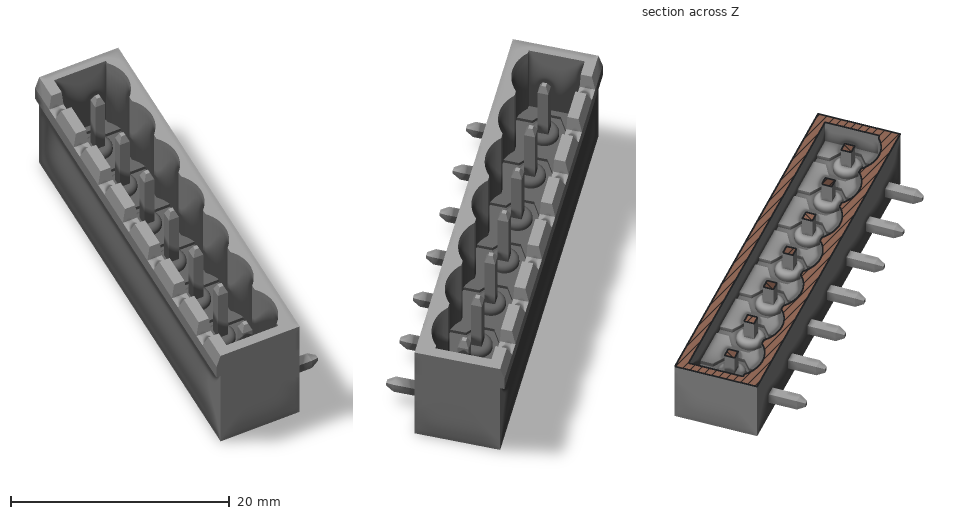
import cadquery as cq


LENGTH = 37.55
HEIGHT = 12.0
BACK_Y = 3.83
BODY_DEPTH = 8.08
FRONT_Y = BACK_Y - BODY_DEPTH

PIN_COUNT = 7
END_DISTANCE = 3.53
PITCH = (LENGTH - 2 * END_DISTANCE) / (PIN_COUNT - 1)
PIN_POSITIONS = [(i - (PIN_COUNT - 1) / 2) * PITCH for i in range(PIN_COUNT)]

LIP_PROJECTION = 0.4
LIP_HEIGHT = 2.8
LIP_CHAMFER_HEIGHT = 1.3

END_WALL = 0.95
FRONT_WALL = 1.05
BACK_WALL = 1.73
SCALLOP_DEPTH = 0.9
SCALLOP_WIDTH = 4.55
FLOOR_Z = 3.75
CAVITY_FRONT_Y = FRONT_Y + FRONT_WALL
CAVITY_BACK_Y = BACK_Y - BACK_WALL
CAVITY_HALF_LENGTH = LENGTH / 2 - END_WALL
SCALLOP_PEAK_Y = CAVITY_BACK_Y + SCALLOP_DEPTH

NOTCH_DEPTH = LIP_CHAMFER_HEIGHT
NOTCH_TOP_WIDTH = 2.03
NOTCH_BOTTOM_WIDTH = 1.25

RECESS_DEPTH = 0.38
RECESS_WIDTH = 4.1
RECESS_BACK_NECK_WIDTH = 2.03
RECESS_FRONT_NECK_WIDTH = 0.95
RECESS_SIDE_BACK_Y = 0.53
RECESS_SIDE_FRONT_Y = -1.05
RECESS_BACK_NECK_Y = 1.35
RECESS_FRONT_NECK_Y = -2.0

COLLAR_DIAMETER = 2.75
COLLAR_TOP_DIAMETER = 1.75
COLLAR_ROUNDING = (COLLAR_DIAMETER - COLLAR_TOP_DIAMETER) / 2
COLLAR_HEIGHT = 0.75

PIN_WIDTH = 1.0
PIN_TIP_WIDTH = 0.4
PIN_TIP_LENGTH = 0.75
PIN_TAIL_Z = 2.1
PIN_TAIL_PROJECTION = 3.5
PIN_TOP_GAP = 1.2
PIN_TOP_Z = HEIGHT - PIN_TOP_GAP
PIN_END_Y = BACK_Y + PIN_TAIL_PROJECTION


def make_shell():
    """Housing block with the chamfered front lip, extruded along X."""
    lip_y = FRONT_Y - LIP_PROJECTION
    lip_z = HEIGHT - LIP_HEIGHT
    profile = [
        (BACK_Y, 0),
        (BACK_Y, HEIGHT),
        (FRONT_Y, HEIGHT),
        (lip_y, HEIGHT - LIP_CHAMFER_HEIGHT),
        (lip_y, lip_z),
        (FRONT_Y, lip_z),
        (FRONT_Y, 0),
    ]
    return cq.Workplane("YZ").polyline(profile).close().extrude(LENGTH / 2, both=True)


def make_cavity():
    """Pocket open at the top, its rear wall scalloped once behind each pin."""
    outline = (
        cq.Workplane("XY", origin=(0, 0, FLOOR_Z))
        .moveTo(CAVITY_HALF_LENGTH, CAVITY_FRONT_Y)
        .lineTo(-CAVITY_HALF_LENGTH, CAVITY_FRONT_Y)
        .lineTo(-CAVITY_HALF_LENGTH, CAVITY_BACK_Y)
    )
    for x in PIN_POSITIONS:
        outline = outline.lineTo(x - SCALLOP_WIDTH / 2, CAVITY_BACK_Y).threePointArc(
            (x, SCALLOP_PEAK_Y), (x + SCALLOP_WIDTH / 2, CAVITY_BACK_Y)
        )
    outline = outline.lineTo(CAVITY_HALF_LENGTH, CAVITY_BACK_Y).close()
    return outline.extrude(HEIGHT - FLOOR_Z)


def make_notch(x):
    """Trapezoidal gap through the front wall and lip."""
    bottom_z = HEIGHT - NOTCH_DEPTH
    profile = [
        (x - NOTCH_BOTTOM_WIDTH / 2, bottom_z),
        (x + NOTCH_BOTTOM_WIDTH / 2, bottom_z),
        (x + NOTCH_TOP_WIDTH / 2, HEIGHT),
        (x - NOTCH_TOP_WIDTH / 2, HEIGHT),
    ]
    start = cq.Workplane("XZ", origin=(0, CAVITY_FRONT_Y, 0))
    return start.polyline(profile).close().extrude(FRONT_WALL + LIP_PROJECTION)


def make_recess(x, cavity):
    """Keyed floor recess, running from the front wall to the scalloped rear wall."""
    right_side = [
        (RECESS_FRONT_NECK_WIDTH / 2, CAVITY_FRONT_Y),
        (RECESS_FRONT_NECK_WIDTH / 2, RECESS_FRONT_NECK_Y),
        (RECESS_WIDTH / 2, RECESS_SIDE_FRONT_Y),
        (RECESS_WIDTH / 2, RECESS_SIDE_BACK_Y),
        (RECESS_BACK_NECK_WIDTH / 2, RECESS_BACK_NECK_Y),
        (RECESS_BACK_NECK_WIDTH / 2, SCALLOP_PEAK_Y),
    ]
    left_side = [(-half_width, y) for half_width, y in reversed(right_side)]
    plan = cq.Workplane("XY", origin=(x, 0, FLOOR_Z - RECESS_DEPTH))
    prism = plan.polyline(right_side + left_side).close().extrude(RECESS_DEPTH)
    return prism.intersect(cavity.translate((0, 0, -RECESS_DEPTH)))


def make_collar(x):
    """Round boss with a rounded top edge, standing on the recess floor."""
    base = cq.Workplane("XY", origin=(x, 0, FLOOR_Z - RECESS_DEPTH))
    collar = base.circle(COLLAR_DIAMETER / 2).extrude(COLLAR_HEIGHT)
    return collar.faces(">Z").edges().fillet(COLLAR_ROUNDING)


def make_tip(plane):
    """Tapered square end of a pin, growing along the normal of the given plane."""
    return (
        cq.Workplane(plane)
        .rect(PIN_WIDTH, PIN_WIDTH)
        .workplane(offset=PIN_TIP_LENGTH)
        .rect(PIN_TIP_WIDTH, PIN_TIP_WIDTH)
        .loft()
    )


def make_pin(x):
    """Right-angle square pin: vertical contact, horizontal tail, both with tapered ends."""
    half = PIN_WIDTH / 2
    contact_z = PIN_TOP_Z - PIN_TIP_LENGTH
    tail_y = PIN_END_Y - PIN_TIP_LENGTH
    profile = [
        (-half, PIN_TAIL_Z - half),
        (tail_y, PIN_TAIL_Z - half),
        (tail_y, PIN_TAIL_Z + half),
        (half, PIN_TAIL_Z + half),
        (half, contact_z),
        (-half, contact_z),
    ]
    bar = cq.Workplane("YZ", origin=(x, 0, 0)).polyline(profile).close().extrude(half, both=True)
    contact_tip = make_tip(cq.Plane((x, 0, contact_z), (1, 0, 0), (0, 0, 1)))
    tail_tip = make_tip(cq.Plane((x, tail_y, PIN_TAIL_Z), (1, 0, 0), (0, 1, 0)))
    return bar.union(contact_tip).union(tail_tip)


def make_housing(pins):
    """Housing with cavity, notches, recesses and collars, and a matching hole for each pin."""
    cavity = make_cavity()
    housing = make_shell().cut(cavity)
    for x, pin in zip(PIN_POSITIONS, pins):
        housing = housing.cut(make_notch(x))
        housing = housing.cut(make_recess(x, cavity))
        housing = housing.union(make_collar(x))
        housing = housing.cut(pin)
    return housing


pins = [make_pin(x) for x in PIN_POSITIONS]
housing = make_housing(pins)

result = cq.Compound.makeCompound([housing.val(), *[pin.val() for pin in pins]])